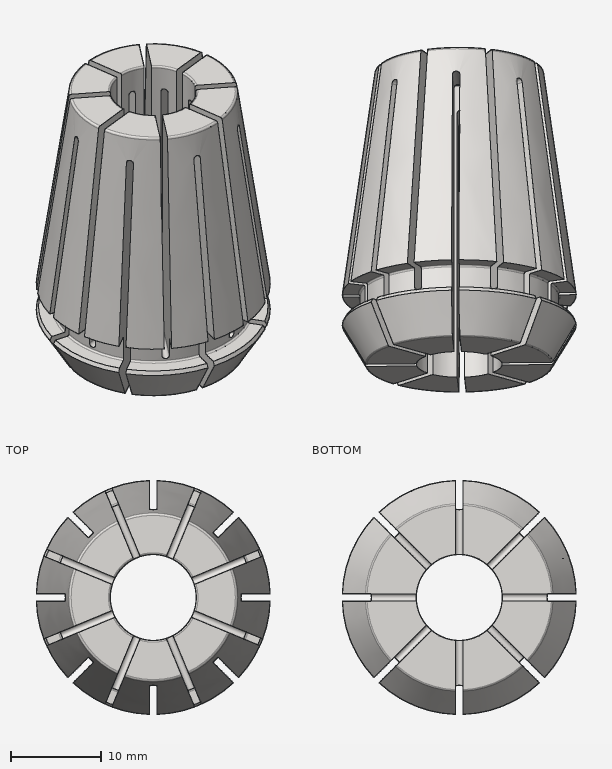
import cadquery as cq
import math

HEIGHT = 34.0
MAX_RADIUS = 13.0
BORE_RADIUS = 4.75

EDGE_FILLET = 0.2
TAPER_TOP_FILLET = 0.27

TAPER_HALF_ANGLE = math.radians(8.0)
TAPER_BASE_Z = 8.1
TAPER_TOP_RADIUS = MAX_RADIUS - (HEIGHT - TAPER_BASE_Z) * math.tan(TAPER_HALF_ANGLE)

GROOVE_RADIUS = 11.0
GROOVE_BOTTOM_Z = 5.0

NOSE_HALF_ANGLE = math.radians(30.0)
RIM_CHAMFER = 0.5
RIM_UPPER_RADIUS = MAX_RADIUS - RIM_CHAMFER * math.sin(NOSE_HALF_ANGLE)
RIM_LOWER_Z = GROOVE_BOTTOM_Z - RIM_CHAMFER * math.cos(NOSE_HALF_ANGLE)
NOSE_BOTTOM_RADIUS = MAX_RADIUS - RIM_LOWER_Z * math.tan(NOSE_HALF_ANGLE)

SLOT_COUNT = 8
SLOT_WIDTH = 0.8
SLOT_PITCH = 360.0 / SLOT_COUNT
LOWER_SLOT_TOP_Z = 31.05
UPPER_SLOT_BOTTOM_Z = 5.45
CUT_CLEARANCE = 1.7

MATCH_TOLERANCE = 0.005


def fillet_ring(body, radius, z, fillet_radius):
    """Round the circular edge that has the given radius and height."""
    ring = [
        edge
        for edge in body.edges("%CIRCLE").vals()
        if abs(edge.radius() - radius) < MATCH_TOLERANCE
        and abs(edge.arcCenter().z - z) < MATCH_TOLERANCE
    ]
    return body.newObject(ring).fillet(fillet_radius)


def make_body():
    """Revolved collet body with its bore and rounded edges."""
    body = (
        cq.Workplane("XZ")
        .moveTo(BORE_RADIUS, 0)
        .lineTo(NOSE_BOTTOM_RADIUS, 0)
        .lineTo(MAX_RADIUS, RIM_LOWER_Z)
        .lineTo(RIM_UPPER_RADIUS, GROOVE_BOTTOM_Z)
        .lineTo(GROOVE_RADIUS, GROOVE_BOTTOM_Z)
        .lineTo(GROOVE_RADIUS, TAPER_BASE_Z)
        .lineTo(MAX_RADIUS, TAPER_BASE_Z)
        .lineTo(TAPER_TOP_RADIUS, HEIGHT)
        .lineTo(BORE_RADIUS, HEIGHT)
        .close()
        .revolve(360, (0, 0, 0), (0, 1, 0))
    )
    body = fillet_ring(body, TAPER_TOP_RADIUS, HEIGHT, TAPER_TOP_FILLET)
    small_fillet_rings = [
        (NOSE_BOTTOM_RADIUS, 0),
        (GROOVE_RADIUS, GROOVE_BOTTOM_Z),
        (GROOVE_RADIUS, TAPER_BASE_Z),
        (BORE_RADIUS, HEIGHT),
    ]
    for radius, z in small_fillet_rings:
        body = fillet_ring(body, radius, z, EDGE_FILLET)
    return body


def make_slot(open_z, round_end_z, angle):
    """Radial slot from the axis outward, open past open_z and rounded at round_end_z."""
    direction = math.copysign(1, round_end_z - open_z)
    half_width = SLOT_WIDTH / 2
    start_z = open_z - direction * CUT_CLEARANCE
    arc_z = round_end_z - direction * half_width
    return (
        cq.Workplane("YZ")
        .moveTo(-half_width, start_z)
        .lineTo(half_width, start_z)
        .lineTo(half_width, arc_z)
        .threePointArc((0, round_end_z), (-half_width, arc_z))
        .close()
        .extrude(MAX_RADIUS + CUT_CLEARANCE)
        .rotate((0, 0, 0), (0, 0, 1), angle)
    )


result = make_body()
for index in range(SLOT_COUNT):
    lower_angle = index * SLOT_PITCH
    upper_angle = lower_angle + SLOT_PITCH / 2
    result = result.cut(make_slot(0, LOWER_SLOT_TOP_Z, lower_angle))
    result = result.cut(make_slot(HEIGHT, UPPER_SLOT_BOTTOM_Z, upper_angle))